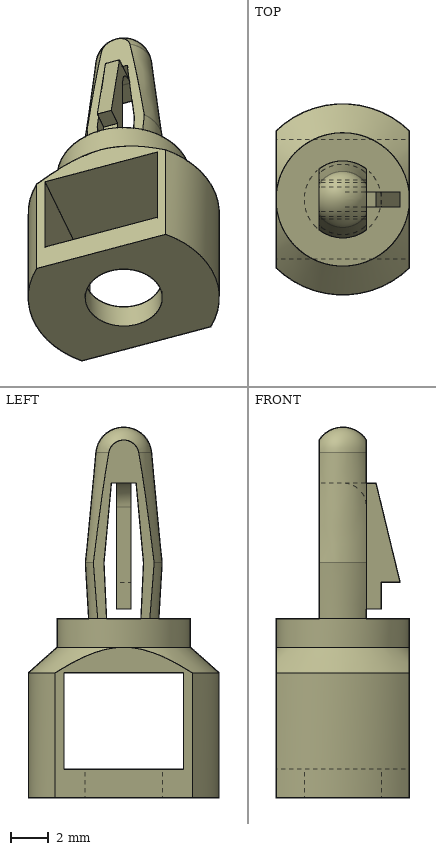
import cadquery as cq
import math

body_radius = 5.08
body_width = 7.1
collar_radius = body_width / 2
shoulder_bottom = 6.64
collar_bottom = 8.0
collar_top = 9.52

floor_thickness = 1.52
window_width = 6.35
window_top = shoulder_bottom
floor_hole_diameter = 4.1

total_height = 19.7
pin_thickness = 2.52
pin_root_radius = 1.87
pin_widest_radius = 2.05
pin_widest_height = 12.49
dome_radius = 1.5
dome_center = total_height - dome_radius

slot_top = 16.73
slot_half_width_bottom = 0.9
slot_half_width_middle = 1.05
slot_half_width_top = 0.65

latch_width = 0.79
latch_inner_x = pin_thickness / 2
latch_top_x = 1.77
latch_stem_x = 2.05
latch_tip_x = 3.05
latch_tip_height = 11.45
latch_bottom = 10.03
latch_root_radius = latch_inner_x


def make_body():
    """Housing turned about Z, trimmed to two flats, with window and floor hole."""
    body = (
        cq.Workplane("XZ")
        .moveTo(0, 0)
        .lineTo(body_radius, 0)
        .lineTo(body_radius, shoulder_bottom)
        .lineTo(collar_radius, collar_bottom)
        .lineTo(collar_radius, collar_top)
        .lineTo(0, collar_top)
        .close()
        .revolve(360, (0, 0, 0), (0, 1, 0))
    )
    flats = cq.Workplane("XY").rect(body_width, 2 * body_radius).extrude(collar_top)
    window = (
        cq.Workplane("XY")
        .workplane(offset=floor_thickness)
        .rect(body_width, window_width)
        .extrude(window_top - floor_thickness)
    )
    floor_hole = cq.Workplane("XY").circle(floor_hole_diameter / 2).extrude(floor_thickness)
    return body.intersect(flats).cut(window).cut(floor_hole)


def dome_point(angle):
    """Radius and height of a dome point at an angle above its horizontal middle plane."""
    return (dome_radius * math.cos(angle), dome_center + dome_radius * math.sin(angle))


def make_pin():
    """Barrel-shaped pin with a round tip, two flats and a slot along X."""
    rise = dome_center - pin_widest_height
    reach = math.hypot(pin_widest_radius, rise)
    taper_angle = math.acos(dome_radius / reach) - math.atan2(rise, pin_widest_radius)
    dome_start = dome_point(taper_angle)
    dome_middle = dome_point((taper_angle + math.pi / 2) / 2)
    pin = (
        cq.Workplane("XZ")
        .moveTo(0, collar_top)
        .lineTo(pin_root_radius, collar_top)
        .lineTo(pin_widest_radius, pin_widest_height)
        .lineTo(*dome_start)
        .threePointArc(dome_middle, (0, total_height))
        .close()
        .revolve(360, (0, 0, 0), (0, 1, 0))
    )
    flats = cq.Workplane("XY").rect(pin_thickness, 2 * pin_widest_radius).extrude(total_height)
    slot = (
        cq.Workplane("YZ")
        .moveTo(-slot_half_width_bottom, collar_top)
        .lineTo(-slot_half_width_middle, pin_widest_height)
        .lineTo(-slot_half_width_top, slot_top)
        .lineTo(slot_half_width_top, slot_top)
        .lineTo(slot_half_width_middle, pin_widest_height)
        .lineTo(slot_half_width_bottom, collar_top)
        .close()
        .extrude(pin_thickness / 2, both=True)
    )
    return pin.intersect(flats).cut(slot)


def make_latch():
    """Barbed latch on the +X side, curving into the slot roof at its root."""
    root_x = latch_inner_x - latch_root_radius
    root_z = slot_top - latch_root_radius
    root_mid = latch_root_radius * math.sqrt(0.5)
    return (
        cq.Workplane("XZ")
        .moveTo(root_x, slot_top)
        .lineTo(latch_top_x, slot_top)
        .lineTo(latch_tip_x, latch_tip_height)
        .lineTo(latch_stem_x, latch_tip_height)
        .lineTo(latch_stem_x, latch_bottom)
        .lineTo(latch_inner_x, latch_bottom)
        .lineTo(latch_inner_x, root_z)
        .threePointArc((root_x + root_mid, root_z + root_mid), (root_x, slot_top))
        .close()
        .extrude(latch_width / 2, both=True)
    )


result = make_body().union(make_pin()).union(make_latch())